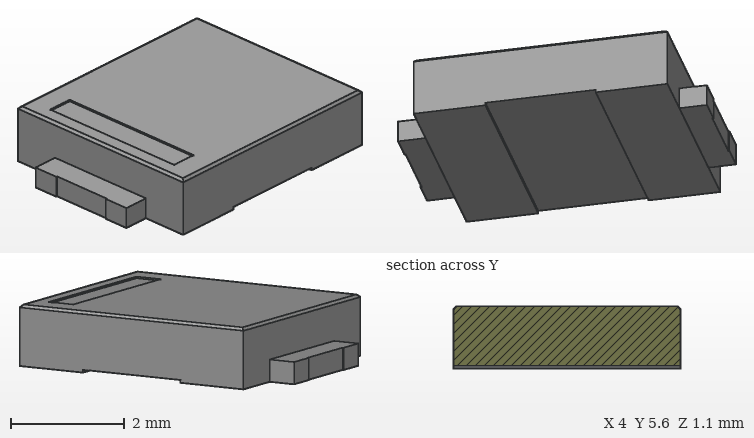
import cadquery as cq

housing_width = 4.0
housing_length = 4.6
housing_height = 1.1
top_chamfer = 0.05

channel_length = 2.0
channel_depth = 0.05

bar_width = 3.0
bar_length = 0.5
bar_depth = 0.03
bar_center_y = -1.75

terminal_width = 2.2
terminal_length = 0.5
terminal_height = 0.4
notch_width = 1.2
notch_depth = 0.02


def block(width, length, height, center_y, bottom_z):
    """Box centred on X = 0 and on the given Y, standing on the given Z."""
    return (
        cq.Workplane("XY")
        .box(width, length, height, centered=(True, True, False))
        .translate((0, center_y, bottom_z))
    )


def make_housing():
    """Chamfered block with the polarity bar recess and the underside channel."""
    body = block(housing_width, housing_length, housing_height, 0, 0)
    body = body.faces(">Z").chamfer(top_chamfer)
    polarity_bar = block(bar_width, bar_length, bar_depth, bar_center_y, housing_height - bar_depth)
    channel = block(housing_width, channel_length, channel_depth, 0, 0)
    return body.cut(polarity_bar).cut(channel)


def make_terminal(side):
    """Terminal against the end face on the given Y side, notched across its outer face."""
    end_face_y = housing_length / 2
    outer_face_y = end_face_y + terminal_length
    center_y = side * (end_face_y + terminal_length / 2)
    tab = block(terminal_width, terminal_length, terminal_height, center_y, 0)
    notch_center_y = side * (outer_face_y - notch_depth / 2)
    notch = block(notch_width, notch_depth, terminal_height, notch_center_y, 0)
    return tab.cut(notch)


housing = make_housing()
terminals = [make_terminal(side) for side in (-1, 1)]

result = cq.Compound.makeCompound([housing.val(), *[terminal.val() for terminal in terminals]])